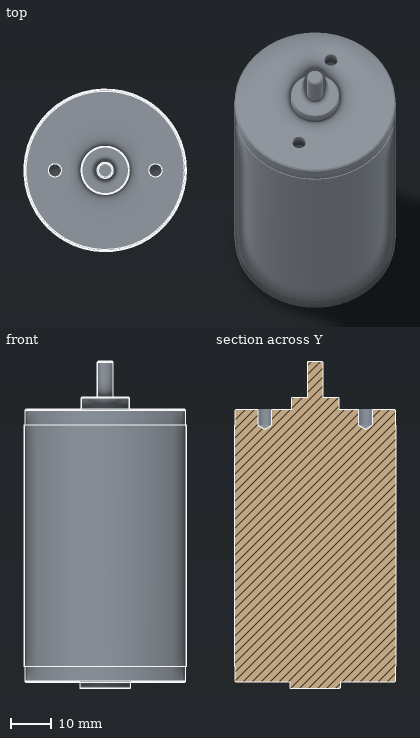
import cadquery as cq
import math

total_height = 81.5
rear_boss_height = 1.55
cap_height = 4.0
front_boss_height = 3.0
shaft_length = 9.0
body_height = total_height - rear_boss_height - 2 * cap_height - front_boss_height - shaft_length

body_diameter = 40.4
cap_diameter = 40.0
front_boss_diameter = 12.0
rear_boss_diameter = 12.6
shaft_diameter = 4.0

cap_chamfer = 0.3
boss_chamfer = 0.2
shaft_chamfer = 0.3

hole_diameter = 3.3
hole_spacing = 25.0
hole_depth = cap_height
drill_point_angle = 118.0

rear_cap_bottom = rear_boss_height
body_bottom = rear_cap_bottom + cap_height
front_cap_bottom = body_bottom + body_height
front_face = front_cap_bottom + cap_height
shaft_bottom = front_face + front_boss_height


def disc(bottom, height, diameter):
    """Cylinder on the motor axis, standing on the given level."""
    return cq.Workplane("XY").workplane(offset=bottom).circle(diameter / 2).extrude(height)


def mounting_hole(x):
    """Blind drilled hole going down from the front face."""
    radius = hole_diameter / 2
    floor = front_face - hole_depth
    tip = floor - radius / math.tan(math.radians(drill_point_angle / 2))
    profile = (
        cq.Workplane("XZ")
        .moveTo(0, tip)
        .lineTo(radius, floor)
        .lineTo(radius, front_face)
        .lineTo(0, front_face)
        .close()
    )
    return profile.revolve(360, (0, 0, 0), (0, 1, 0)).translate((x, 0, 0))


rear_cap = disc(rear_cap_bottom, cap_height, cap_diameter).faces("<Z").edges().chamfer(cap_chamfer)
body = disc(body_bottom, body_height, body_diameter)
front_cap = disc(front_cap_bottom, cap_height, cap_diameter).faces(">Z").edges().chamfer(cap_chamfer)

rear_boss = disc(0, rear_boss_height, rear_boss_diameter).faces("<Z").edges().chamfer(boss_chamfer)
front_boss = disc(front_face, front_boss_height, front_boss_diameter).faces(">Z").edges().chamfer(boss_chamfer)
shaft = disc(shaft_bottom, shaft_length, shaft_diameter).faces(">Z").edges().chamfer(shaft_chamfer)

result = rear_boss.union(rear_cap).union(body).union(front_cap).union(front_boss).union(shaft)

for side in (-1, 1):
    result = result.cut(mounting_hole(side * hole_spacing / 2))